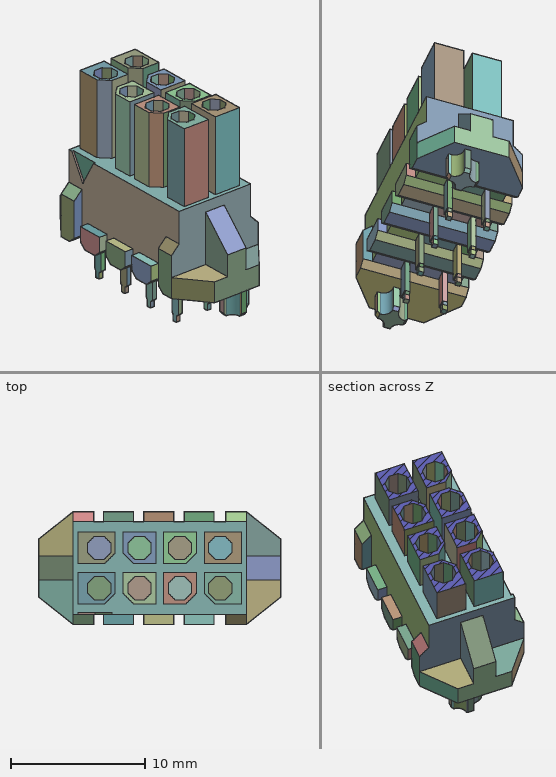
import cadquery as cq
import math

PITCH = 9 / 3
COLUMNS = 4
TOTAL_LENGTH = 18.0
TOTAL_WIDTH = 8.4

BODY_LENGTH = 12.87
BODY_WIDTH = 6.91
BODY_TOP = 7.07
BODY_BOTTOM = 0.49
FLANGE_TOP = 1.76

PIN_WIDTH = 0.75
FOOT_WIDTH = PITCH - PIN_WIDTH
FOOT_CHAMFER = 0.54
CLIP_WIDTH = 1.53
CLIP_SHOULDER = 3.6
CLIP_PROJECTION = (TOTAL_WIDTH - BODY_WIDTH) / 2

EAR_END_WIDTH = 4.34
GUSSET_WIDTH = 1.78
GUSSET_SHOULDER = 3.6
GUSSET_RISE = (TOTAL_LENGTH - BODY_LENGTH) / 2

OUTER_TOWER_TOP = 13.6
INNER_TOWER_TOP = 13.3
TOWER_DEPTH = 2.34
INNER_TOWER_LENGTH = 2.47
OUTER_TOWER_LENGTH = 2.77
OUTER_TOWER_SHIFT = 0.2
TOWER_CHAMFER = 0.8
SOCKET_SIDES = 8
SOCKET_ACROSS_FLATS = 1.73

MARK_LENGTH = 2.52
MARK_HEIGHT = 2.2
MARK_DEPTH = 0.16
MARK_CENTER_X = -4.8

PIN_ARRAY_X = -0.07
PIN_ARRAY_Y = -0.52
PIN_THICKNESS = 0.47
PIN_CROWN = 0.07
PIN_BOTTOM = -3.38
PIN_SHOULDER = -2.68
PIN_TIP_TOP = -2.86
PIN_TIP_WIDTH = 0.4
PIN_TIP_STEP = 0.07

PEG_X = 7.5
PEG_Y = PIN_ARRAY_Y + PITCH / 2
PEG_LENGTH_X = 2.29
PEG_LENGTH_Y = 2.41
PEG_RIB = 0.49
PEG_FLUTE_REACH = 0.97
PEG_BOTTOM = -2.32
PEG_CHAMFER_HEIGHT = 0.29
PEG_CHAMFER = 0.22

column_offsets = [(i - (COLUMNS - 1) / 2) * PITCH for i in range(COLUMNS)]
row_offsets = [-PITCH / 2, PITCH / 2]


def block(x_min, x_max, y_min, y_max, z_min, z_max):
    return (
        cq.Workplane("XY")
        .box(x_max - x_min, y_max - y_min, z_max - z_min, centered=False)
        .translate((x_min, y_min, z_min))
    )


def extrude_along_y(points, width):
    """Prism from an XZ outline, centred on Y = 0."""
    return cq.Workplane("XZ").polyline(points).close().extrude(width / 2, both=True)


def body():
    half = BODY_LENGTH / 2
    half_width = BODY_WIDTH / 2
    return block(-half, half, -half_width, half_width, BODY_BOTTOM, BODY_TOP)


def foot(center_x):
    """Middle foot: a bar across the full width with chamfered lower edges."""
    half = FOOT_WIDTH / 2
    points = [
        (center_x - half, FLANGE_TOP),
        (center_x - half, BODY_BOTTOM),
        (center_x - half + FOOT_CHAMFER, 0),
        (center_x + half - FOOT_CHAMFER, 0),
        (center_x + half, BODY_BOTTOM),
        (center_x + half, FLANGE_TOP),
    ]
    return extrude_along_y(points, TOTAL_WIDTH)


def clip(side):
    """Clip bar at one end of the body, sloping back to the body at its top."""
    outer = BODY_LENGTH / 2
    inner = outer - CLIP_WIDTH
    top = CLIP_SHOULDER + CLIP_PROJECTION
    points = [
        (side * outer, 0),
        (side * (inner + FOOT_CHAMFER), 0),
        (side * inner, BODY_BOTTOM),
        (side * inner, top),
        (side * outer, top),
    ]
    half_width = TOTAL_WIDTH / 2
    half_body = BODY_WIDTH / 2
    envelope = (
        cq.Workplane("YZ")
        .polyline([
            (-half_width, 0),
            (half_width, 0),
            (half_width, CLIP_SHOULDER),
            (half_body, top),
            (-half_body, top),
            (-half_width, CLIP_SHOULDER),
        ])
        .close()
        .extrude(TOTAL_LENGTH / 2, both=True)
    )
    return extrude_along_y(points, TOTAL_WIDTH).intersect(envelope)


def ear(side):
    """Tapered flange with a sloping gusset above it."""
    root = side * BODY_LENGTH / 2
    end = side * TOTAL_LENGTH / 2
    flange = (
        cq.Workplane("XY")
        .polyline([
            (root, -TOTAL_WIDTH / 2),
            (end, -EAR_END_WIDTH / 2),
            (end, EAR_END_WIDTH / 2),
            (root, TOTAL_WIDTH / 2),
        ])
        .close()
        .extrude(FLANGE_TOP)
    )
    gusset = extrude_along_y(
        [(root, 0), (end, 0), (end, GUSSET_SHOULDER), (root, GUSSET_SHOULDER + GUSSET_RISE)],
        GUSSET_WIDTH,
    )
    return flange.union(gusset)


def tower(column, row):
    """Contact tower with one keyed front corner and an octagonal socket."""
    x = column_offsets[column]
    y = row_offsets[row]
    if column in (0, COLUMNS - 1):
        center_x = x + math.copysign(OUTER_TOWER_SHIFT, x)
        half_length = OUTER_TOWER_LENGTH / 2
        top = OUTER_TOWER_TOP
    else:
        center_x = x
        half_length = INNER_TOWER_LENGTH / 2
        top = INNER_TOWER_TOP
    shape = block(
        center_x - half_length,
        center_x + half_length,
        y - TOWER_DEPTH / 2,
        y + TOWER_DEPTH / 2,
        BODY_TOP,
        top,
    )

    is_square = column == COLUMNS - 1 and y > 0
    if not is_square:
        keyed_side = ">X" if column % 2 == 0 else "<X"
        shape = shape.faces("<Y").edges("|Z").edges(keyed_side).chamfer(TOWER_CHAMFER)

    socket = (
        cq.Workplane("XY")
        .polygon(SOCKET_SIDES, SOCKET_ACROSS_FLATS, circumscribed=True)
        .extrude(top - BODY_TOP)
        .translate((x, y, BODY_TOP))
    )
    return shape.cut(socket)


def pin_one_mark():
    """Triangular recess in the front face of the body."""
    return (
        cq.Workplane("XZ", origin=(MARK_CENTER_X, -BODY_WIDTH / 2, BODY_TOP))
        .polyline([(-MARK_LENGTH / 2, 0), (MARK_LENGTH / 2, 0), (0, -MARK_HEIGHT)])
        .close()
        .extrude(-MARK_DEPTH)
    )


def solder_pin(x, y):
    """Flat pin with a bowed front face and a narrow stepped tip."""
    half = PIN_WIDTH / 2
    tip = PIN_TIP_WIDTH / 2
    back = PIN_THICKNESS / 2
    blade = (
        cq.Workplane("XY", origin=(0, 0, PIN_BOTTOM))
        .moveTo(-half, back)
        .lineTo(-half, PIN_CROWN - back)
        .threePointArc((0, -back), (half, PIN_CROWN - back))
        .lineTo(half, back)
        .close()
        .extrude(BODY_BOTTOM - PIN_BOTTOM)
    )
    outline = extrude_along_y(
        [
            (-half, BODY_BOTTOM),
            (-half, PIN_SHOULDER),
            (-tip, PIN_TIP_TOP),
            (-tip, PIN_BOTTOM),
            (tip, PIN_BOTTOM),
            (tip, PIN_TIP_TOP),
            (half, PIN_SHOULDER),
            (half, BODY_BOTTOM),
        ],
        PIN_THICKNESS,
    )
    step = block(-half, half, back - PIN_TIP_STEP, back, PIN_BOTTOM, PIN_SHOULDER)
    return blade.intersect(outline).cut(step).translate((x, y, 0))


def peg(x):
    """Cross-shaped board peg: four ribs separated by concave flutes, ends chamfered."""
    rib = PEG_RIB / 2
    half_x = PEG_LENGTH_X / 2
    half_y = PEG_LENGTH_Y / 2
    flute_radius = PEG_FLUTE_REACH - rib

    core = cq.Workplane("XY").rect(2 * PEG_FLUTE_REACH, 2 * PEG_FLUTE_REACH).extrude(PEG_BOTTOM)
    flutes = (
        cq.Workplane("XY")
        .rect(2 * PEG_FLUTE_REACH, 2 * PEG_FLUTE_REACH, forConstruction=True)
        .vertices()
        .circle(flute_radius)
        .extrude(PEG_BOTTOM)
    )
    ribs = (
        cq.Workplane("XY").rect(2 * half_x, PEG_RIB).extrude(PEG_BOTTOM)
        .union(cq.Workplane("XY").rect(PEG_RIB, 2 * half_y).extrude(PEG_BOTTOM))
    )
    envelope = (
        cq.Workplane("XY")
        .rect(2 * half_x, 2 * half_y)
        .extrude(PEG_BOTTOM)
        .faces("<Z")
        .chamfer(PEG_CHAMFER_HEIGHT, PEG_CHAMFER)
    )
    return core.cut(flutes).union(ribs).intersect(envelope).translate((x, PEG_Y, 0))


result = body()
for side in (-1, 1):
    result = result.union(clip(side)).union(ear(side)).union(peg(side * PEG_X))
for i in range(COLUMNS - 1):
    result = result.union(foot(PIN_ARRAY_X + (column_offsets[i] + column_offsets[i + 1]) / 2))
for column in range(COLUMNS):
    for row in range(len(row_offsets)):
        result = result.union(tower(column, row))
        pin_x = PIN_ARRAY_X + column_offsets[column]
        result = result.union(solder_pin(pin_x, PIN_ARRAY_Y + row_offsets[row]))
result = result.cut(pin_one_mark())